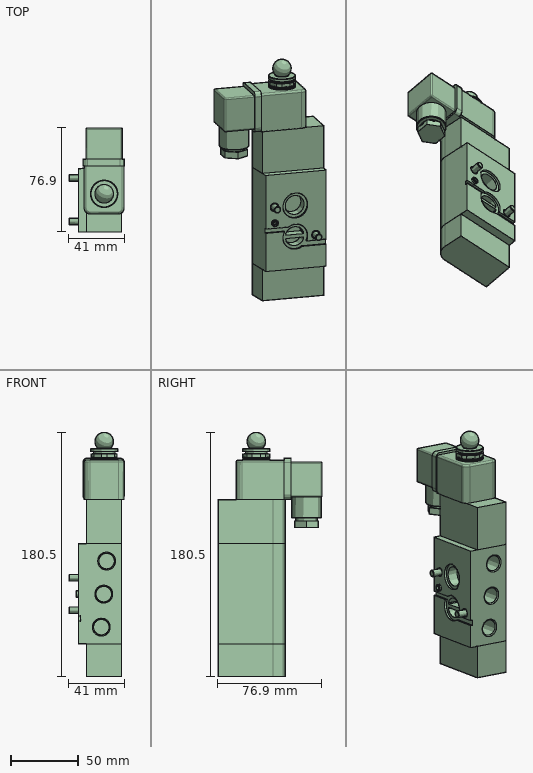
import cadquery as cq
import math


PORT_FACE_X = 7.0
HOUSING_RIGHT_X = 39.0
CAP_LEFT_X = 13.0
PORT_FACE_DEPTH = 46.75
REAR_SLOPE = math.tan(math.radians(7.5))
REAR_CORNER_RADIUS = 9.0
BLOCK_BOTTOM_Z = 24.2
BLOCK_HEIGHT = 74.0
BLOCK_TOP_Z = BLOCK_BOTTOM_Z + BLOCK_HEIGHT
TOP_CAP_HEIGHT = 32.5
HOUSING_TOP_Z = BLOCK_TOP_Z + TOP_CAP_HEIGHT

FLANGE_Y = 23.85
FLANGE_Z = 61.0
PORT_PITCH = 24.0
SCREW_PITCH_Y = 32.0
SCREW_PITCH_Z = 24.0
SEAL_RECESS_DIA = 19.1
SEAL_RECESS_DEPTH = 1.7
FLANGE_BORE_DIA = 14.5
FLANGE_BORE_DEPTH = 8.0
WEB_WIDTH = 2.6
WEB_LENGTH = 13.8
REAR_GROOVE_Z = 55.2
REAR_GROOVE_WIDTH = 3.2
FRONT_GROOVE_Z = 43.0
FRONT_GROOVE_WIDTH = 3.8

FRONT_PORT_DIA = 11.45
FRONT_PORT_MOUTH_DIA = 13.16
FRONT_PORT_DEPTH = 15.0
FRONT_PORT_PITCH = 24.4
FRONT_PORT_X = (24.0, 25.8, 27.9)

SCREW_DIA = 5.0
SCREW_TIP_DIA = 4.13
SCREW_INSERTION = 10.0
SCREW_MOUTH_DIA = 6.4
SCREW_MOUTH_DEPTH = 1.0
SET_SCREW_DIA = 5.0
SET_SCREW_PROTRUSION = 1.75
SET_SCREW_INSERTION = 6.0
SET_SCREW_SOCKET_DIA = 2.46
SET_SCREW_SOCKET_DEPTH = 2.0

SOLENOID_X = 26.1
COIL_WIDTH = 29.6
COIL_FRONT_Y = 13.3
COIL_BACK_Y = 48.9
COIL_TOP_Z = 159.9
COIL_CORNER_RADIUS = 4.4
COIL_TOP_RADIUS = 1.5
COLLAR_LEFT_X = 10.4
COLLAR_RIGHT_X = 41.0
COLLAR_HEIGHT = 30.8
COLLAR_THICKNESS = 5.0
COLLAR_CORNER_RADIUS = 3.3
PLUG_WIDTH = 27.0
PLUG_BOTTOM_Z = 132.6
PLUG_TOP_Z = 158.6
PLUG_BACK_Y = 76.9
PLUG_EDGE_RADIUS = 1.0

GLAND_Y = 65.3
GLAND_DIA = 22.0
GLAND_BOTTOM_Z = 117.1
GLAND_EDGE_CHAMFER = 0.5
GLAND_NECK_DIA = 16.0
GLAND_NECK_LENGTH = 2.0
GLAND_HEX_FLATS = 17.6
GLAND_HEX_HEIGHT = 5.0

KNOB_Y = 28.25
KNOB_FLANGE_DIA = 20.2
KNOB_NECK_DIA = 16.0
KNOB_LIP_DIA = 17.4
KNOB_STEM_DIA = 10.0
KNOB_EDGE = 0.4
KNOB_BASE_TOP_Z = 161.1
KNOB_NUT_BOTTOM_Z = 162.0
KNOB_NUT_TOP_Z = 164.6
KNOB_NUT_FLATS = 19.2
KNOB_LIP_HEIGHT = 0.4
KNOB_DISC_BOTTOM_Z = 166.3
KNOB_DISC_TOP_Z = 168.4
BALL_DIA = 13.8
BALL_TOP_Z = 180.48


def box_between(x0, x1, y0, y1, z0, z1):
    return cq.Workplane("XY").box(x1 - x0, y1 - y0, z1 - z0, centered=False).translate((x0, y0, z0))


def rod_x(dia, x0, x1, y, z):
    """Cylinder along X from x0 to x1."""
    return cq.Workplane("YZ", origin=(x0, y, z)).circle(dia / 2).extrude(x1 - x0)


def rod_z(dia, z0, z1, x, y):
    """Cylinder along Z from z0 to z1."""
    return cq.Workplane("XY", origin=(x, y, z0)).circle(dia / 2).extrude(z1 - z0)


def hexagon_z(across_flats, z0, z1, x, y, turn):
    """Hexagonal prism along Z; at turn = 0 two corners lie on the X direction."""
    across_corners = across_flats / math.cos(math.pi / 6)
    prism = cq.Workplane("XY").polygon(6, across_corners).extrude(z1 - z0)
    return prism.rotate((0, 0, 0), (0, 0, 1), turn).translate((x, y, z0))


def rear_y(x):
    """Y of the slanted rear face of the housing at the given X."""
    return PORT_FACE_DEPTH + (x - PORT_FACE_X) * REAR_SLOPE


def housing_section(left_x, z0, z1):
    outline = [
        (left_x, 0),
        (HOUSING_RIGHT_X, 0),
        (HOUSING_RIGHT_X, rear_y(HOUSING_RIGHT_X)),
        (left_x, rear_y(left_x)),
    ]
    section = cq.Workplane("XY", origin=(0, 0, z0)).polyline(outline).close().extrude(z1 - z0)
    return section.edges("|Z and >X and >Y").fillet(REAR_CORNER_RADIUS)


UPPER_PORT_Z = FLANGE_Z + PORT_PITCH / 2
LOWER_PORT_Z = FLANGE_Z - PORT_PITCH / 2
SCREW_PLACES = [
    (FLANGE_Y + SCREW_PITCH_Y / 2, FLANGE_Z + SCREW_PITCH_Z / 2),
    (FLANGE_Y - SCREW_PITCH_Y / 2, FLANGE_Z - SCREW_PITCH_Z / 2),
]
SET_SCREW_PLACE = (FLANGE_Y + SCREW_PITCH_Y / 2, FLANGE_Z)
RECESS_FLOOR_X = PORT_FACE_X + SEAL_RECESS_DEPTH


def seal_recesses():
    """Round seal recesses around both flange ports."""
    upper = rod_x(SEAL_RECESS_DIA, PORT_FACE_X, RECESS_FLOOR_X, FLANGE_Y, UPPER_PORT_Z)
    lower = rod_x(SEAL_RECESS_DIA, PORT_FACE_X, RECESS_FLOOR_X, FLANGE_Y, LOWER_PORT_Z)
    return upper.union(lower)


def seal_grooves():
    """Straight grooves from the lower recess to the rear and to the front face."""
    rear = box_between(
        PORT_FACE_X, RECESS_FLOOR_X, FLANGE_Y, rear_y(RECESS_FLOOR_X),
        REAR_GROOVE_Z - REAR_GROOVE_WIDTH / 2, REAR_GROOVE_Z + REAR_GROOVE_WIDTH / 2,
    )
    front = box_between(
        PORT_FACE_X, RECESS_FLOOR_X, 0, FLANGE_Y,
        FRONT_GROOVE_Z - FRONT_GROOVE_WIDTH / 2, FRONT_GROOVE_Z + FRONT_GROOVE_WIDTH / 2,
    )
    return rear.union(front)


def flange_bore(z):
    return rod_x(FLANGE_BORE_DIA, RECESS_FLOOR_X, RECESS_FLOOR_X + FLANGE_BORE_DEPTH, FLANGE_Y, z)


def webbed_bore(z):
    """Flange bore with trimmed sides and a web left standing across its middle."""
    bore = flange_bore(z)
    floor_x = RECESS_FLOOR_X + FLANGE_BORE_DEPTH
    y0 = FLANGE_Y - WEB_LENGTH / 2
    y1 = FLANGE_Y + WEB_LENGTH / 2
    trim = box_between(RECESS_FLOOR_X, floor_x, y0, y1, z - FLANGE_BORE_DIA / 2, z + FLANGE_BORE_DIA / 2)
    web = box_between(RECESS_FLOOR_X, floor_x, y0, y1, z - WEB_WIDTH / 2, z + WEB_WIDTH / 2)
    return bore.intersect(trim).cut(web)


def front_port(x, z):
    """Blind port with a 45 degree mouth, sunk into the front face."""
    mouth_depth = (FRONT_PORT_MOUTH_DIA - FRONT_PORT_DIA) / 2
    profile = [
        (0, 0),
        (FRONT_PORT_MOUTH_DIA / 2, 0),
        (FRONT_PORT_DIA / 2, mouth_depth),
        (FRONT_PORT_DIA / 2, FRONT_PORT_DEPTH),
        (0, FRONT_PORT_DEPTH),
    ]
    return cq.Workplane("XY").polyline(profile).close().revolve(360, (0, 0), (0, 1)).translate((x, 0, z))


def screw_hole(y, z):
    """Hole that fits a mounting screw, opened out at the port face."""
    hole = rod_x(SCREW_DIA, PORT_FACE_X, PORT_FACE_X + SCREW_INSERTION, y, z)
    mouth = rod_x(SCREW_MOUTH_DIA, PORT_FACE_X, PORT_FACE_X + SCREW_MOUTH_DEPTH, y, z)
    return hole.union(mouth)


def valve_block():
    block = housing_section(PORT_FACE_X, BLOCK_BOTTOM_Z, BLOCK_TOP_Z)
    block = block.cut(seal_recesses()).cut(seal_grooves())
    block = block.cut(flange_bore(UPPER_PORT_Z)).cut(webbed_bore(LOWER_PORT_Z))
    for row, x in enumerate(FRONT_PORT_X):
        block = block.cut(front_port(x, FLANGE_Z + (row - 1) * FRONT_PORT_PITCH))
    for y, z in SCREW_PLACES:
        block = block.cut(screw_hole(y, z))
    set_screw_end_x = PORT_FACE_X + SET_SCREW_INSERTION
    return block.cut(rod_x(SET_SCREW_DIA, PORT_FACE_X, set_screw_end_x, *SET_SCREW_PLACE))


def mounting_screw(y, z):
    screw = rod_x(SCREW_DIA, 0, PORT_FACE_X + SCREW_INSERTION, y, z)
    return screw.faces("<X").chamfer((SCREW_DIA - SCREW_TIP_DIA) / 2)


def set_screw(y, z):
    tip_x = PORT_FACE_X - SET_SCREW_PROTRUSION
    screw = rod_x(SET_SCREW_DIA, tip_x, PORT_FACE_X + SET_SCREW_INSERTION, y, z)
    screw = screw.faces("<X").chamfer((SET_SCREW_DIA - SCREW_TIP_DIA) / 2)
    return screw.cut(rod_x(SET_SCREW_SOCKET_DIA, tip_x, tip_x + SET_SCREW_SOCKET_DEPTH, y, z))


def coil():
    half = COIL_WIDTH / 2
    body = box_between(
        SOLENOID_X - half, SOLENOID_X + half, COIL_FRONT_Y, COIL_BACK_Y, HOUSING_TOP_Z, COIL_TOP_Z
    )
    body = body.edges("|Z and <Y").fillet(COIL_CORNER_RADIUS)
    return body.faces(">Z").edges("not >Y").fillet(COIL_TOP_RADIUS)


def collar():
    body = box_between(
        COLLAR_LEFT_X, COLLAR_RIGHT_X, COIL_BACK_Y, COIL_BACK_Y + COLLAR_THICKNESS,
        HOUSING_TOP_Z, HOUSING_TOP_Z + COLLAR_HEIGHT,
    )
    return body.edges("|Y").fillet(COLLAR_CORNER_RADIUS)


def plug():
    half = PLUG_WIDTH / 2
    body = box_between(
        SOLENOID_X - half, SOLENOID_X + half, COIL_BACK_Y + COLLAR_THICKNESS, PLUG_BACK_Y,
        PLUG_BOTTOM_Z, PLUG_TOP_Z,
    )
    return body.edges("|Y or >Y").fillet(PLUG_EDGE_RADIUS)


def cable_gland():
    neck_bottom_z = GLAND_BOTTOM_Z - GLAND_NECK_LENGTH
    barrel = rod_z(GLAND_DIA, GLAND_BOTTOM_Z, PLUG_BOTTOM_Z + PLUG_EDGE_RADIUS, SOLENOID_X, GLAND_Y)
    barrel = barrel.faces("<Z").chamfer(GLAND_EDGE_CHAMFER)
    neck = rod_z(GLAND_NECK_DIA, neck_bottom_z, GLAND_BOTTOM_Z, SOLENOID_X, GLAND_Y)
    nut = hexagon_z(GLAND_HEX_FLATS, neck_bottom_z - GLAND_HEX_HEIGHT, neck_bottom_z, SOLENOID_X, GLAND_Y, 0)
    return barrel.union(neck).union(nut)


def knob():
    """Base disc, neck with truncated hexagon nut, top disc, stem and ball, stacked along Z."""
    ball_z = BALL_TOP_Z - BALL_DIA / 2
    base = rod_z(KNOB_FLANGE_DIA, COIL_TOP_Z, KNOB_BASE_TOP_Z, SOLENOID_X, KNOB_Y)
    base = base.faces(">Z").chamfer(KNOB_EDGE)
    neck = rod_z(KNOB_NECK_DIA, KNOB_BASE_TOP_Z, KNOB_DISC_BOTTOM_Z, SOLENOID_X, KNOB_Y)
    nut = hexagon_z(KNOB_NUT_FLATS, KNOB_NUT_BOTTOM_Z, KNOB_NUT_TOP_Z, SOLENOID_X, KNOB_Y, 30)
    nut = nut.intersect(rod_z(KNOB_FLANGE_DIA, KNOB_NUT_BOTTOM_Z, KNOB_NUT_TOP_Z, SOLENOID_X, KNOB_Y))
    lip = rod_z(KNOB_LIP_DIA, KNOB_NUT_TOP_Z, KNOB_NUT_TOP_Z + KNOB_LIP_HEIGHT, SOLENOID_X, KNOB_Y)
    disc = rod_z(KNOB_FLANGE_DIA, KNOB_DISC_BOTTOM_Z, KNOB_DISC_TOP_Z, SOLENOID_X, KNOB_Y)
    disc = disc.faces(">Z").chamfer(KNOB_EDGE)
    stem = rod_z(KNOB_STEM_DIA, KNOB_DISC_TOP_Z, ball_z, SOLENOID_X, KNOB_Y)
    ball = cq.Workplane("XY", origin=(SOLENOID_X, KNOB_Y, ball_z)).sphere(BALL_DIA / 2)
    return base.union(neck).union(nut).union(lip).union(disc).union(stem).union(ball)


def solenoid():
    return coil().union(collar()).union(plug()).union(cable_gland()).union(knob())


block = valve_block()
bottom_cap = housing_section(CAP_LEFT_X, 0, BLOCK_BOTTOM_Z)
top_cap = housing_section(CAP_LEFT_X, BLOCK_TOP_Z, HOUSING_TOP_Z)
coding_screw = set_screw(*SET_SCREW_PLACE)
mounting_screws = [mounting_screw(y, z) for y, z in SCREW_PLACES]
pilot_solenoid = solenoid()

result = cq.Compound.makeCompound([
    block.val(),
    bottom_cap.val(),
    top_cap.val(),
    coding_screw.val(),
    *[screw.val() for screw in mounting_screws],
    pilot_solenoid.val(),
])